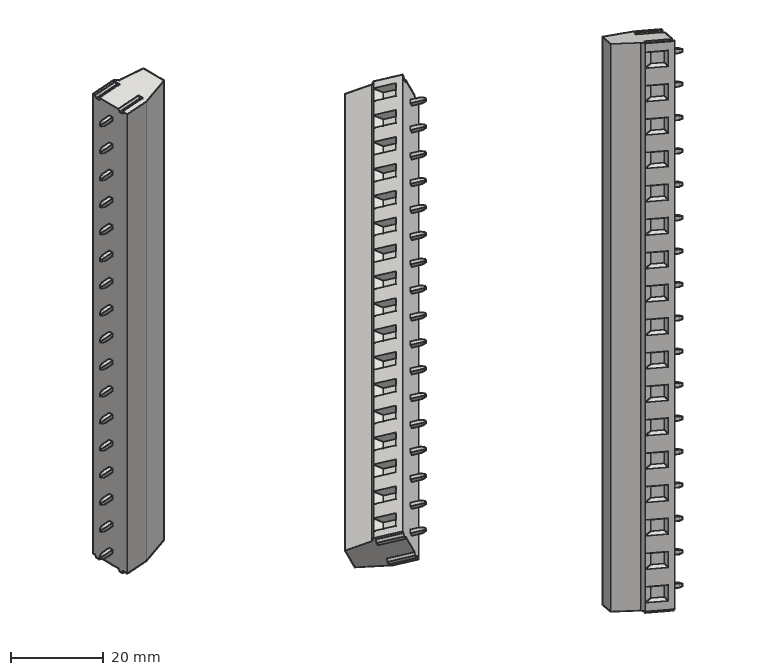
import cadquery as cq

pole_count = 17
overall_length = 128.1
body_length = 127.5
pitch = body_length / pole_count

body_depth = 10.2
body_height = 14.0
crown_left = 1.9
crown_right = 8.1
ledge_width = 0.9
ledge_top = 7.4
ledge_bottom = 6.7
shoulder_height = 6.0

key_height = overall_length - body_length
key_length = 6.4
key_root_width = 1.3
key_tip_width = 0.9
key_rights = (1.9, 8.8)

entry_bottom = 1.5
entry_top = 6.8
entry_width = 3.6
entry_floor_bottom = 1.9
entry_floor_top = 5.0
entry_floor_width = 2.5
entry_depth = 1.5

pin_x = 5.4
pin_size = 1.0
pin_length = 3.3
pin_tip_length = 0.9
pin_tip_size = 0.5


def make_body():
    outline = [
        (0, 0),
        (body_depth, 0),
        (body_depth, shoulder_height),
        (crown_right, body_height),
        (crown_left, body_height),
        (ledge_width, ledge_top),
        (0, ledge_bottom),
    ]
    return cq.Workplane("XY").polyline(outline).close().extrude(body_length)


def make_key(right, root_z):
    """Key with one sloping side, hanging below root_z."""
    tip_z = root_z - key_height
    profile = [
        (right - key_root_width, root_z),
        (right, root_z),
        (right, tip_z),
        (right - key_tip_width, tip_z),
    ]
    return cq.Workplane("XZ").polyline(profile).close().extrude(-key_length)


def make_entry(center_z):
    """Funnel that narrows from the entry face toward its flat floor."""
    mouth_y = (entry_bottom + entry_top) / 2
    floor_y = (entry_floor_bottom + entry_floor_top) / 2
    return (
        cq.Workplane("YZ")
        .center(mouth_y, center_z)
        .rect(entry_top - entry_bottom, entry_width)
        .workplane(offset=entry_depth)
        .center(floor_y - mouth_y, 0)
        .rect(entry_floor_top - entry_floor_bottom, entry_floor_width)
        .loft(ruled=True)
    )


def make_pin(center_z):
    shank_length = pin_length - pin_tip_length
    shank = cq.Workplane("XZ").center(pin_x, center_z).rect(pin_size, pin_size).extrude(shank_length)
    tip = (
        shank.faces("<Y")
        .workplane(centerOption="CenterOfMass")
        .rect(pin_size, pin_size)
        .workplane(offset=pin_tip_length)
        .rect(pin_tip_size, pin_tip_size)
        .loft(ruled=True, combine=False)
    )
    return shank.union(tip)


result = make_body()
for key_right in key_rights:
    result = result.cut(make_key(key_right, body_length))
    result = result.union(make_key(key_right, 0))

for pole in range(pole_count):
    pole_z = (pole + 0.5) * pitch
    result = result.cut(make_entry(pole_z))
    result = result.union(make_pin(pole_z))